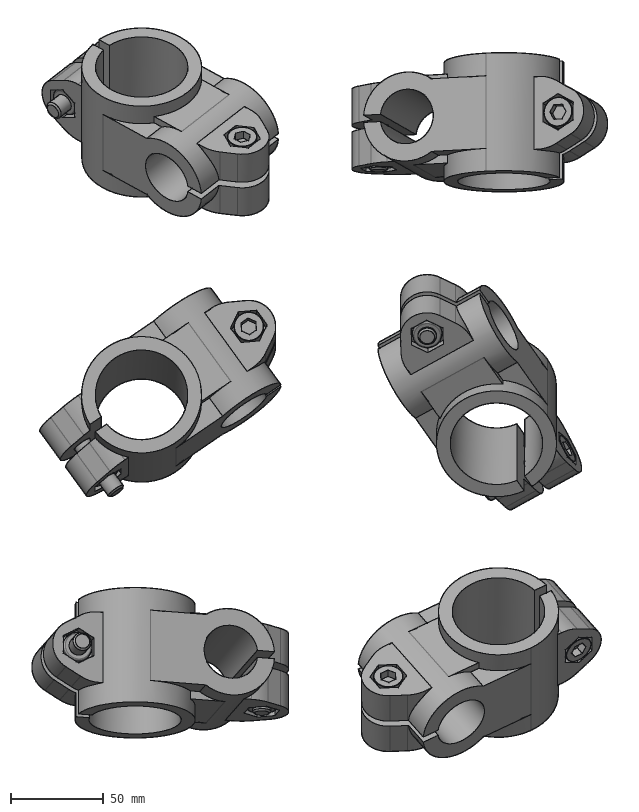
import cadquery as cq
import math


body_length = 65.0
half_length = body_length / 2
large_outer_radius = 32.5
large_bore_radius = 25.0
small_outer_radius = 24.5
small_bore_radius = 15.0
axis_distance = 45.0
web_half_width = 20.0

lug_thickness = 44.0
lug_root_radius = 20.0
lug_tip_radius = 14.55
large_lug_root = 26.5
small_lug_root = 15.0
root_to_bolt = 11.0
large_slit_width = 5.0
small_slit_width = 4.0

bolt_diameter = 10.0
bolt_hole_diameter = 10.5
bolt_end_chamfer = 1.0
bolt_head_diameter = 16.0
bolt_head_height = 10.0
bolt_head_chamfer = 0.2
socket_flats = 8.0
socket_depth = 5.0
large_bolt_tip = 30.1
small_bolt_tip = 22.8
hex_pocket_flats = 17.2
pocket_turn = 30.0
nut_flats = 17.0
nut_crown_diameter = 15.9
nut_crown_height = 3.0
nut_crown_edge_radius = 0.8
nut_height = 10.0
nut_recess = 1.4

lug_face = lug_thickness / 2
nut_pocket_depth = nut_height + nut_recess


def cylinder(radius, bottom, top):
    """Cylinder about Z, turned so its seam line lies on the +Y side."""
    solid = cq.Workplane("XY").workplane(offset=bottom).circle(radius).extrude(top - bottom)
    return solid.rotate((0, 0, 0), (0, 0, 1), 90)


def hexagon(flats, bottom, top, turn=0.0):
    """Hexagonal prism along Z with corners on the X axis, turned about Z by an angle in degrees."""
    corner_diameter = flats / math.cos(math.radians(30))
    prism = cq.Workplane("XY").workplane(offset=bottom).polygon(6, corner_diameter).extrude(top - bottom)
    return prism.rotate((0, 0, 0), (0, 0, 1), turn)


def make_lug(root):
    """Tapered lug pair along +X, split later; its outline is tangent to a root arc and a tip arc."""
    bolt = root + root_to_bolt
    taper = math.asin((lug_root_radius - lug_tip_radius) / root_to_bolt)
    root_x = root + lug_root_radius * math.sin(taper)
    root_y = lug_root_radius * math.cos(taper)
    tip_x = bolt + lug_tip_radius * math.sin(taper)
    tip_y = lug_tip_radius * math.cos(taper)
    middle_x = root + lug_root_radius * math.sin(taper / 2)
    middle_y = lug_root_radius * math.cos(taper / 2)
    outline = (
        cq.Workplane("XY")
        .workplane(offset=-lug_face)
        .moveTo(0, -lug_root_radius)
        .lineTo(root, -lug_root_radius)
        .threePointArc((middle_x, -middle_y), (root_x, -root_y))
        .lineTo(tip_x, -tip_y)
        .threePointArc((bolt + lug_tip_radius, 0), (tip_x, tip_y))
        .lineTo(root_x, root_y)
        .threePointArc((middle_x, middle_y), (root, lug_root_radius))
        .lineTo(0, lug_root_radius)
        .close()
    )
    return outline.extrude(lug_thickness)


def make_fastener_space():
    """Bolt hole along Z with a hexagonal pocket in each lug face."""
    hole = cylinder(bolt_hole_diameter / 2, -lug_face, lug_face)
    head_pocket = hexagon(hex_pocket_flats, lug_face - bolt_head_height, lug_face, pocket_turn)
    nut_pocket = hexagon(hex_pocket_flats, -lug_face, nut_pocket_depth - lug_face, pocket_turn)
    return hole.union(head_pocket).union(nut_pocket)


def make_nut():
    """Lock nut resting on its pocket floor: a hexagon with a round crown, rounded at its exposed edge."""
    bottom = nut_recess - lug_face
    top = bottom + nut_height
    crown = cylinder(nut_crown_diameter / 2, bottom, top).faces("<Z").edges().fillet(nut_crown_edge_radius)
    return crown.union(hexagon(nut_flats, bottom + nut_crown_height, top, pocket_turn))


def make_fastener(tip):
    """Socket-head bolt with its head flush in the upper lug face and its tip at -tip, plus the nut."""
    head_seat = lug_face - bolt_head_height
    shank = cylinder(bolt_diameter / 2, -tip, head_seat).faces("<Z").chamfer(bolt_end_chamfer)
    head = cylinder(bolt_head_diameter / 2, head_seat, lug_face).faces(">Z").chamfer(bolt_head_chamfer)
    socket = hexagon(socket_flats, lug_face - socket_depth, lug_face)
    return make_nut().union(shank).union(head).cut(socket)


def place_large(shape):
    """Turn a +X, bolt-along-Z shape to the large clamp: pointing to -X, bolt tip to -Y."""
    return shape.rotate((0, 0, 0), (1, 0, 0), -90).rotate((0, 0, 0), (0, 1, 0), 180)


def place_small(shape):
    """Move a +X, bolt-along-Z shape to the axis of the small clamp."""
    return shape.translate((axis_distance, 0, 0))


def make_slit(width, length):
    """Flat slot from the tube axis outward along +X, running the full body length."""
    return cq.Workplane("XY").box(length, body_length, width, centered=(False, True, True))


def make_web(depth, height):
    """Block joining the two tube axes."""
    return cq.Workplane("XY").box(axis_distance, depth, height, centered=(False, True, True))


def along_y(shape):
    """Turn a shape built along Z to lie along Y."""
    return shape.rotate((0, 0, 0), (1, 0, 0), 90)


large_bolt_x = large_lug_root + root_to_bolt
small_bolt_x = small_lug_root + root_to_bolt

body = cylinder(large_outer_radius, -half_length, half_length)
body = body.union(place_small(along_y(cylinder(small_outer_radius, -half_length, half_length))))
body = body.union(make_web(body_length, 2 * web_half_width))
body = body.union(make_web(2 * web_half_width, 2 * small_outer_radius))
body = body.union(place_large(make_lug(large_lug_root)))
body = body.union(place_small(make_lug(small_lug_root)))

body = body.cut(cylinder(large_bore_radius, -half_length, half_length))
body = body.cut(place_small(along_y(cylinder(small_bore_radius, -half_length, half_length))))
body = body.cut(place_large(make_slit(large_slit_width, large_bolt_x + lug_tip_radius)))
body = body.cut(place_small(make_slit(small_slit_width, small_bolt_x + lug_tip_radius)))

fastener_space = make_fastener_space()
body = body.cut(place_large(fastener_space.translate((large_bolt_x, 0, 0))))
body = body.cut(place_small(fastener_space.translate((small_bolt_x, 0, 0))))
body = body.union(place_large(make_fastener(large_bolt_tip).translate((large_bolt_x, 0, 0))))
body = body.union(place_small(make_fastener(small_bolt_tip).translate((small_bolt_x, 0, 0))))

result = body